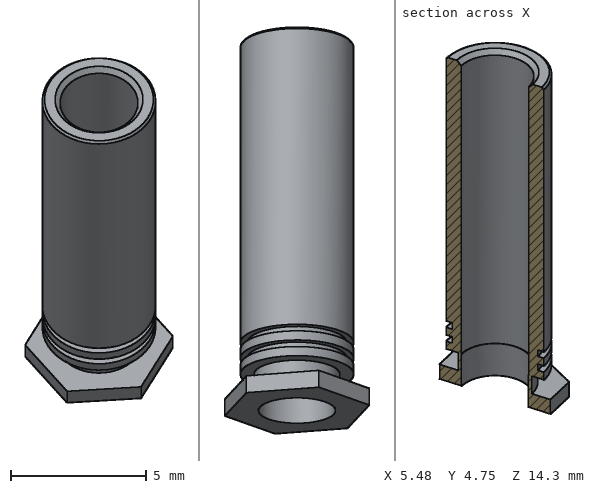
import cadquery as cq
import math

total_height = 14.29
hex_across_flats = 4.75
hex_thickness = 0.66
neck_diameter = 3.17
body_diameter = 4.19
body_bottom = 1.41
rim_chamfer = 0.09

groove_diameter = 3.69
groove_width = 0.26
groove_bottoms = (1.77, 2.39)

bore_diameter = 2.87
lower_bore_diameter = 2.85
countersink_depth = 0.19


def cylinder(diameter, bottom, top):
    """Upright cylinder on the Z axis between two heights."""
    return cq.Workplane("XY").workplane(offset=bottom).circle(diameter / 2).extrude(top - bottom)


def ring_groove(bottom):
    """Ring of material to cut away around the body."""
    top = bottom + groove_width
    return cylinder(body_diameter, bottom, top).cut(cylinder(groove_diameter, bottom, top))


hex_across_corners = hex_across_flats / math.cos(math.pi / 6)
head = cq.Workplane("XY").polygon(6, hex_across_corners).extrude(hex_thickness)

neck = cylinder(neck_diameter, hex_thickness, body_bottom)

body = cylinder(body_diameter, body_bottom, total_height).faces(">Z").edges().chamfer(rim_chamfer)

for groove_bottom in groove_bottoms:
    body = body.cut(ring_groove(groove_bottom))

bore = cylinder(bore_diameter, body_bottom, total_height)
bore = bore.faces(">Z").workplane().circle(bore_diameter / 2 + countersink_depth).extrude(
    -countersink_depth, taper=45
)

lower_bore = cylinder(lower_bore_diameter, 0, body_bottom)

result = head.union(neck).union(body).cut(bore).cut(lower_bore)